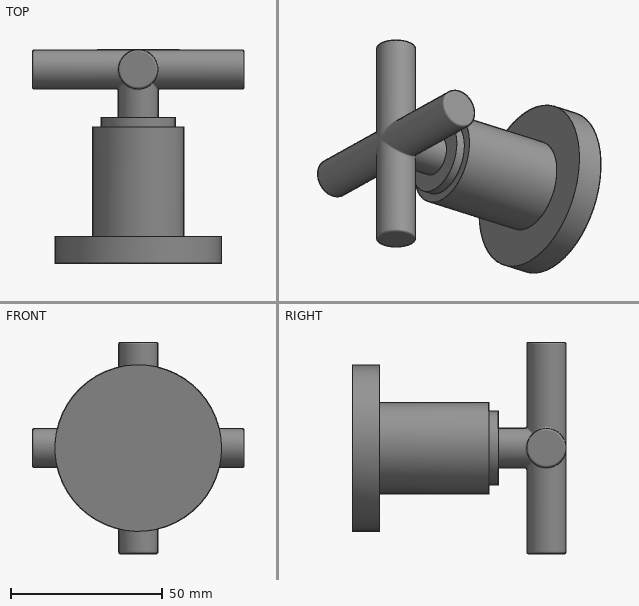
import cadquery as cq

total_depth = 70.7

flange_diameter = 55.15
flange_thickness = 9.0

sleeve_diameter = 30.25
sleeve_length = 36.2
collar_diameter = 24.6
collar_length = 3.1

bar_length = 70.0
bar_diameter = 13.0
bar_end_fillet = 0.7
stem_diameter = 13.3
junction_fillet = 0.5
outer_slice_thickness = 0.15

sleeve_end = flange_thickness + sleeve_length
collar_end = sleeve_end + collar_length
bar_axis_y = total_depth - bar_diameter / 2
blend_end_y = total_depth - outer_slice_thickness


def axial_cylinder(diameter, start_y, end_y):
    """Cylinder on the Y axis between two positions."""
    return (
        cq.Workplane("XZ")
        .workplane(offset=-start_y)
        .circle(diameter / 2)
        .extrude(start_y - end_y)
    )


def make_flange():
    """Plain round disc against the wall."""
    return axial_cylinder(flange_diameter, 0, flange_thickness)


def make_sleeve():
    """Round sleeve ending in a smaller collar."""
    barrel = axial_cylinder(sleeve_diameter, flange_thickness, sleeve_end)
    collar = axial_cylinder(collar_diameter, sleeve_end, collar_end)
    return barrel.union(collar)


def make_bar(plane):
    """Handle bar centred on the bar axis, square to the given plane."""
    return (
        cq.Workplane(plane, origin=(0, bar_axis_y, 0))
        .circle(bar_diameter / 2)
        .extrude(bar_length / 2, both=True)
    )


def blend_junction(cross):
    """Round the edges where the bars and the stem meet.

    The bars' meeting edges run together and become smooth at the outermost point,
    so the blends stop just short of it and the thin outer slice stays as it is.
    """
    inner_space = cq.Workplane("XY").box(
        bar_length, blend_end_y, bar_length, centered=(True, False, True)
    )
    inner_part = cross.intersect(inner_space)
    outer_slice = cross.cut(inner_space)

    meeting_edges = [
        edge for edge in inner_part.edges().vals() if edge.geomType() in ("ELLIPSE", "BSPLINE")
    ]
    return inner_part.newObject(meeting_edges).fillet(junction_fillet).union(outer_slice)


def make_handle():
    """Two crossed bars on a stem, blended where they meet and rounded at the bar ends."""
    stem = axial_cylinder(stem_diameter, collar_end, bar_axis_y)
    cross = make_bar("YZ").union(make_bar("XY")).union(stem)
    blended = blend_junction(cross)
    return blended.faces("<X or >X or <Z or >Z").edges().fillet(bar_end_fillet)


flange = make_flange()
sleeve = make_sleeve()
handle = make_handle()

result = cq.Compound.makeCompound([flange.val(), sleeve.val(), handle.val()])